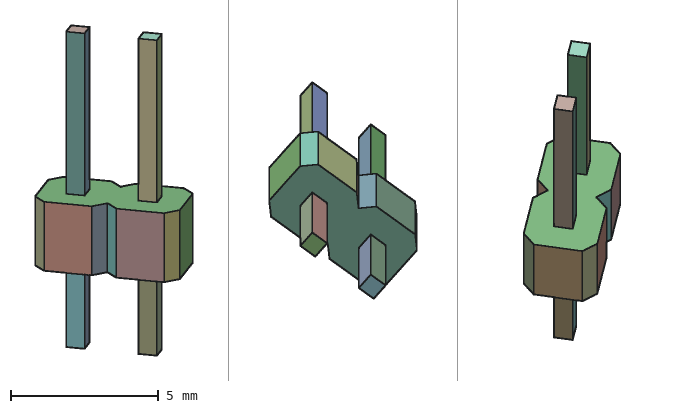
import cadquery as cq

pin_count = 2
pitch = 2.54
body_height = 2.5
corner_chamfer = 0.43
pin_width = 0.65
pin_length = 11.39
pin_tail = 3.04

pin_positions = [((i - (pin_count - 1) / 2) * pitch, 0) for i in range(pin_count)]


def make_body():
    """Row of chamfered square cells; neighbouring chamfers form V notches."""
    cell = cq.Workplane("XY").rect(pitch, pitch).extrude(body_height)
    cell = cell.edges("|Z").chamfer(corner_chamfer)
    body = cq.Workplane("XY")
    for x, y in pin_positions:
        body = body.add(cell.translate((x, y, 0)))
    return body.combine()


def make_pins():
    """Square pins running through the body, one at each cell centre."""
    return (
        cq.Workplane("XY")
        .workplane(offset=-pin_tail)
        .pushPoints(pin_positions)
        .rect(pin_width, pin_width)
        .extrude(pin_length)
    )


result = make_body().union(make_pins())